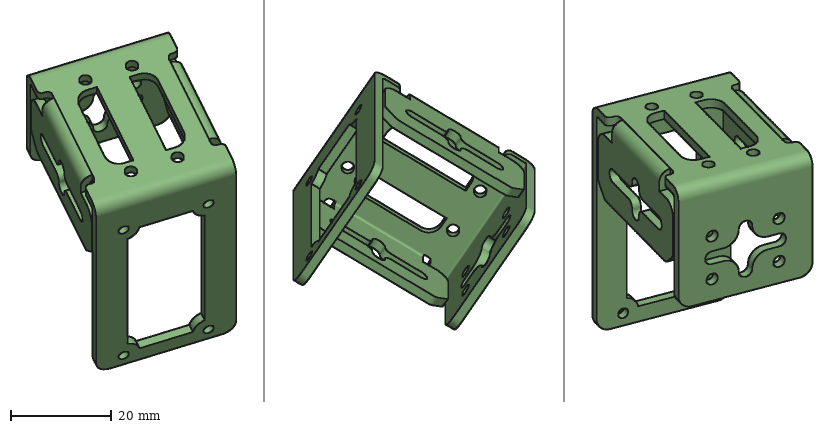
import cadquery as cq

length_x = 38.05
width_y = 30.0
height = 52.4
thickness = 2.0
inner_bend_radius = 0.5
outer_bend_radius = thickness + inner_bend_radius

short_wall_height = 27.6
wall_corner_radius = 3.0

screw_hole_diameter = 2.5
screw_row_spacing = 10.0
plate_hole_spacing = 25.0
wall_hole_spacing = 15.0

cross_arm_width = 3.0
wall_cross_length = 18.1
wall_cross_height = 13.0
wall_cross_fillet = wall_cross_height / 2 - cross_arm_width
wall_cross_z = -17.55
flange_cross_length = 23.0
flange_cross_height = 9.5
flange_cross_fillet = 1.5
flange_cross_z = -12.15

slot_length = 20.0
slot_inner_y = 3.5
slot_outer_y = 8.5
slot_corner_radius = 3.0

window_width = 16.5
window_height = 38.8
window_z = -29.4
mount_hole_diameter = 2.2
mount_hole_spacing_y = 18.2
mount_hole_spacing_z = 40.25
mount_lobe_radius = 3.45

flange_span_y = 29.95
flange_width = length_x - 2 * outer_bend_radius
flange_neck_width = 21.0
flange_shoulder_z = -4.6
flange_bottom_z = -19.6
flange_top_radius = 3.0
flange_bottom_chamfer = 3.0
flange_chamfer_fillet = 1.5
relief_width = 25.0
relief_fillet = 1.0

half_x = length_x / 2
half_y = width_y / 2


def bent_strip(plane, half_span, left_depth, right_depth, strip_width):
    """Level plate with both ends bent down, centred across the strip width."""
    bend_start = half_span - outer_bend_radius
    inner_face = half_span - thickness
    return (
        cq.Workplane(plane)
        .moveTo(-half_span, -left_depth)
        .lineTo(-half_span, -outer_bend_radius)
        .radiusArc((-bend_start, 0), outer_bend_radius)
        .lineTo(bend_start, 0)
        .radiusArc((half_span, -outer_bend_radius), outer_bend_radius)
        .lineTo(half_span, -right_depth)
        .lineTo(inner_face, -right_depth)
        .lineTo(inner_face, -outer_bend_radius)
        .radiusArc((bend_start, -thickness), -inner_bend_radius)
        .lineTo(-bend_start, -thickness)
        .radiusArc((-inner_face, -outer_bend_radius), -inner_bend_radius)
        .lineTo(-inner_face, -left_depth)
        .close()
        .extrude(strip_width / 2, both=True)
    )


def cross_prism(plane, arm_length, arm_height, fillet, reach):
    """Round-ended cross about the plane's origin, filleted where its arms meet."""
    half_arm = cross_arm_width / 2
    half_blend = half_arm + fillet
    blend_corners = [(x, y) for x in (-half_blend, half_blend) for y in (-half_blend, half_blend)]
    center = plane.rect(2 * half_blend, 2 * half_blend).extrude(reach, both=True)
    center = center.cut(plane.pushPoints(blend_corners).circle(fillet).extrude(reach, both=True))
    level_arm = plane.slot2D(arm_length, cross_arm_width).extrude(reach, both=True)
    upright_arm = plane.slot2D(arm_height, cross_arm_width, 90).extrude(reach, both=True)
    return center.union(level_arm).union(upright_arm)


def channel():
    """Top plate with the short wall and the long wall, lower corners rounded."""
    blank = bent_strip("XZ", half_x, short_wall_height, height, width_y)
    for side, depth in ((-1, short_wall_height), (1, height)):
        lower_end = cq.selectors.BoxSelector(
            (side * half_x - 2 * thickness, -width_y, -depth - thickness),
            (side * half_x + 2 * thickness, width_y, -depth + thickness),
        )
        blank = blank.edges("|X").edges(lower_end).fillet(wall_corner_radius)
    return blank


def relief_notches():
    """Strips cleared from the plate's Y edges, wider than the flange necks."""
    notches = cq.Workplane("XY")
    half_relief = relief_width / 2
    for side in (-1, 1):
        edge_y = side * half_y
        bend_y = side * (half_y - outer_bend_radius)
        step = side * relief_fillet
        notches = notches.union(
            cq.Workplane("XY")
            .moveTo(-half_relief - relief_fillet, edge_y)
            .radiusArc((-half_relief, edge_y - step), step)
            .lineTo(-half_relief, bend_y + step)
            .radiusArc((-half_relief + relief_fillet, bend_y), -step)
            .lineTo(half_relief - relief_fillet, bend_y)
            .radiusArc((half_relief, bend_y + step), -step)
            .lineTo(half_relief, edge_y - step)
            .radiusArc((half_relief + relief_fillet, edge_y), step)
            .close()
            .extrude(-thickness)
        )
    return notches


def flanges():
    """Pair of flanges, each hanging from the plate by a narrower bent neck."""
    body_height = flange_shoulder_z - flange_bottom_z
    strip_depth = -flange_bottom_z
    strip = bent_strip("YZ", flange_span_y / 2, strip_depth, strip_depth, flange_width)
    neck = cq.Workplane("XZ").rect(flange_neck_width, 2 * strip_depth).extrude(half_y, both=True)
    body = (
        cq.Workplane("XZ", origin=(0, 0, flange_bottom_z + body_height / 2))
        .rect(flange_width, body_height)
        .extrude(half_y, both=True)
        .faces(">Z")
        .edges("|Y")
        .fillet(flange_top_radius)
        .faces("<Z")
        .edges("|Y")
        .chamfer(flange_bottom_chamfer)
    )
    chamfer_band = cq.selectors.BoxSelector(
        (-flange_width, -width_y, flange_bottom_z - thickness),
        (flange_width, width_y, flange_bottom_z + flange_bottom_chamfer + thickness),
    )
    body = body.edges("|Y").edges(chamfer_band).fillet(flange_chamfer_fillet)
    cross_plane = cq.Workplane("XZ", origin=(0, 0, flange_cross_z))
    cross = cross_prism(cross_plane, flange_cross_length, flange_cross_height, flange_cross_fillet, half_y)
    return strip.intersect(neck.union(body)).cut(cross)


def plate_openings():
    """Two slots and four screw holes through the top plate."""
    openings = (
        cq.Workplane("XY")
        .rect(plate_hole_spacing, screw_row_spacing, forConstruction=True)
        .vertices()
        .circle(screw_hole_diameter / 2)
        .extrude(-thickness)
    )
    slot_width = slot_outer_y - slot_inner_y
    for side, outer_edges in ((-1, "<Y"), (1, ">Y")):
        slot = (
            cq.Workplane("XY", origin=(0, side * (slot_inner_y + slot_width / 2), 0))
            .rect(slot_length, slot_width)
            .extrude(-thickness)
            .faces(outer_edges)
            .edges("|Z")
            .fillet(slot_corner_radius)
        )
        openings = openings.union(slot)
    return openings


def short_wall_openings():
    """Cross with a screw hole in each of its quarters."""
    plane = cq.Workplane("YZ", origin=(-half_x, 0, wall_cross_z))
    holes = (
        plane.rect(wall_hole_spacing, screw_row_spacing, forConstruction=True)
        .vertices()
        .circle(screw_hole_diameter / 2)
        .extrude(thickness)
    )
    return holes.union(
        cross_prism(plane, wall_cross_length, wall_cross_height, wall_cross_fillet, thickness)
    )


def long_wall_openings():
    """Tall window with lobed corners, and a mounting hole inside each lobe."""
    plane = cq.Workplane("YZ", origin=(half_x - thickness, 0, window_z))
    mounts = plane.rect(mount_hole_spacing_y, mount_hole_spacing_z, forConstruction=True).vertices()
    lobes = mounts.circle(mount_lobe_radius).extrude(thickness)
    holes = mounts.circle(mount_hole_diameter / 2).extrude(thickness)
    return plane.rect(window_width, window_height).extrude(thickness).cut(lobes).union(holes)


result = (
    channel()
    .cut(relief_notches())
    .union(flanges())
    .cut(plate_openings())
    .cut(short_wall_openings())
    .cut(long_wall_openings())
)